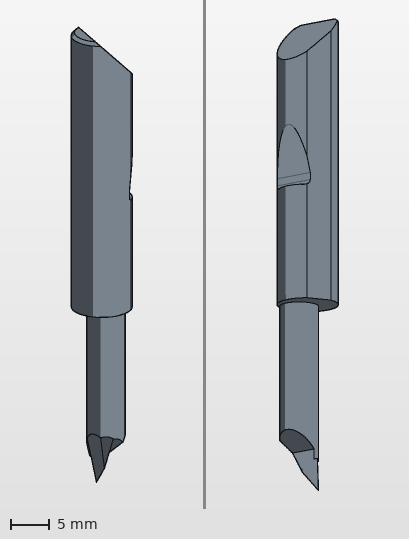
import cadquery as cq
import math

total_length = 63.15
shank_radius = 4.0
shank_bottom = 25.1
end_chamfer = 0.45
bevel_start_y = -2.1

flat_angle = 153.0
flat_distance = 3.6

notch_top = 48.4
notch_deep_z = 41.8
notch_bottom = 40.2
notch_floor_y = 2.7
notch_corner_radius = 0.6

neck_radius = 2.5
neck_x = shank_radius - neck_radius

tip_x = -1.8
tip_top = 4.35
heel_z = 1.3
rake_top = 5.7

clearance = 0.6
cut_size = 126.3


def outer_side(point, outward):
    """Large block filling the outer side of a plane."""
    plane = cq.Plane(origin=point, normal=outward)
    return cq.Workplane(plane).rect(cut_size, cut_size).extrude(cut_size)


def across_x(outline):
    """YZ outline running right through the part along X."""
    return cq.Workplane("YZ").polyline(outline).close().extrude(cut_size / 2, both=True)


def make_shank():
    length = total_length - shank_bottom
    shank = cq.Workplane("XY").workplane(offset=shank_bottom).circle(shank_radius).extrude(length)
    shank = shank.faces(">Z").chamfer(end_chamfer)
    angle = math.radians(flat_angle)
    normal = (math.cos(angle), math.sin(angle), 0)
    flat_point = (flat_distance * normal[0], flat_distance * normal[1], 0)
    shank = shank.cut(outer_side(flat_point, normal))
    return shank.cut(outer_side((0, bevel_start_y, total_length), (0, 1, 1)))


def make_notch():
    outer_y = shank_radius + clearance
    slope = (notch_top - notch_deep_z) / (shank_radius - notch_floor_y)
    outer_z = notch_top + slope * clearance
    corner_y = notch_floor_y + notch_corner_radius
    profile = (
        cq.Workplane("YZ")
        .moveTo(outer_y, notch_bottom)
        .lineTo(corner_y, notch_bottom)
        .radiusArc((notch_floor_y, notch_bottom + notch_corner_radius), notch_corner_radius)
        .lineTo(notch_floor_y, notch_deep_z)
        .lineTo(outer_y, outer_z)
        .close()
    )
    return profile.extrude(cut_size / 2, both=True)


def make_neck_and_tip():
    neck = (
        cq.Workplane("XY").workplane(offset=tip_top).center(neck_x, 0)
        .circle(neck_radius).extrude(shank_bottom - tip_top)
    )
    point = (tip_x, 0, 0)
    neck = neck.cut(outer_side(point, (0, -3, -1)))
    tip = cq.Workplane("XY").box(4 * neck_radius, 2 * neck_radius, tip_top, centered=(True, True, False))
    tip = tip.cut(outer_side(point, (-1, -1.07, 0.045)))
    tool = neck.union(tip)

    rake_reach = neck_radius + clearance
    rake = across_x([
        (0, -clearance),
        (0, rake_top),
        (rake_reach, rake_top + rake_reach),
        (rake_reach, -clearance),
    ])
    tool = tool.cut(rake)

    tool = tool.cut(outer_side(point, (1.05, -1.75, -1)))
    heel_point = (0, 0, heel_z)
    tool = tool.cut(outer_side(heel_point, (1.7, -0.7, -1)))
    return tool.cut(outer_side(heel_point, (1.7, 0, -1)))


result = make_shank().cut(make_notch()).union(make_neck_and_tip())